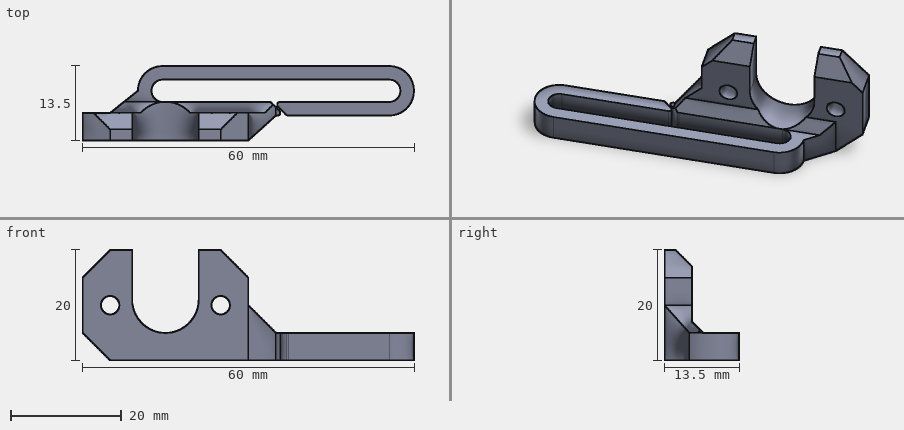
import cadquery as cq
import math

plate_length = 30.0
plate_thickness = 5.0
plate_height = 20.0
corner_chamfer = 5.0
top_back_chamfer = 3.0

saddle_radius = 6.0
saddle_center_x = plate_length / 2
saddle_center_z = 11.0
screw_hole_diameter = 3.3
screw_hole_z = plate_height / 2
screw_hole_inset = 5.0

overall_length = 60.0
overall_depth = 13.5
loop_height = 5.0
loop_wall = 2.5
loop_outer_radius = 4.5
loop_inner_radius = loop_outer_radius - loop_wall
loop_left_x = 10.0
loop_left_center_x = loop_left_x + loop_outer_radius
loop_center_y = overall_depth - loop_outer_radius
loop_front_y = loop_center_y - loop_outer_radius
loop_slot_front_y = loop_center_y - loop_inner_radius

foot_left_x = 5.0
web_size = loop_slot_front_y - plate_thickness
gusset_size = 5.0
gusset_tip_x = plate_length + gusset_size

gap_width_x = 0.5
gap_corner_radius = 0.5
gap_left_front_x = 36.5
gap_left_back_x = gap_left_front_x - loop_wall
gap_right_front_x = gap_left_front_x + gap_width_x
gap_right_back_x = gap_left_back_x + gap_width_x


def round_gap_corners(solid, front_x, back_x):
    """Round the two upright edges where one side of the gap meets the leg faces."""
    middle_z = loop_height / 2
    front_edge = cq.selectors.NearestToPointSelector((front_x, loop_front_y, middle_z))
    back_edge = cq.selectors.NearestToPointSelector((back_x, loop_slot_front_y, middle_z))
    return solid.edges(front_edge + back_edge).fillet(gap_corner_radius)


def slotted_bar(left_x, right_x, radius):
    """Round-ended bar of the loop height, centred on the loop axis."""
    return (
        cq.Workplane("XY")
        .center((left_x + right_x) / 2, loop_center_y)
        .slot2D(right_x - left_x, 2 * radius)
        .extrude(loop_height)
    )


def front_prism(points, depth):
    """Prism with an XZ outline, running from the front face toward +Y."""
    return cq.Workplane("XZ").polyline(points).close().extrude(-depth)


def make_plate():
    outline = [
        (corner_chamfer, 0),
        (plate_length, 0),
        (plate_length, plate_height - corner_chamfer),
        (plate_length - corner_chamfer, plate_height),
        (corner_chamfer, plate_height),
        (0, plate_height - corner_chamfer),
        (0, corner_chamfer),
    ]
    plate = front_prism(outline, plate_thickness)
    bevel = (
        cq.Workplane("YZ")
        .moveTo(plate_thickness, plate_height)
        .lineTo(plate_thickness - top_back_chamfer, plate_height)
        .lineTo(plate_thickness, plate_height - top_back_chamfer)
        .close()
        .extrude(plate_length)
    )
    return plate.cut(bevel)


def make_loop():
    """Closed loop with the front leg cut away left of the slanted gap."""
    ring = slotted_bar(loop_left_x, overall_length, loop_outer_radius).cut(
        slotted_bar(loop_left_x + loop_wall, overall_length - loop_wall, loop_inner_radius)
    )
    removed_leg = (
        cq.Workplane("XY")
        .moveTo(saddle_center_x, loop_front_y)
        .lineTo(gap_right_front_x, loop_front_y)
        .lineTo(gap_right_back_x, loop_slot_front_y)
        .lineTo(saddle_center_x, loop_slot_front_y)
        .close()
        .extrude(loop_height)
    )
    return round_gap_corners(ring.cut(removed_leg), gap_right_front_x, gap_right_back_x)


def make_foot():
    """Foot from the plate to the gap, topped by a sloped web and a sloped gusset."""
    gusset_top = loop_height + gusset_size
    slot_arc_offset = loop_inner_radius * math.sqrt(0.5)
    plan = (
        cq.Workplane("XY")
        .moveTo(foot_left_x, plate_thickness)
        .lineTo(plate_length, plate_thickness)
        .lineTo(plate_length, 0)
        .lineTo(gusset_tip_x, loop_front_y)
        .lineTo(gap_left_front_x, loop_front_y)
        .lineTo(gap_left_back_x, loop_slot_front_y)
        .lineTo(loop_left_center_x, loop_slot_front_y)
        .threePointArc(
            (loop_left_center_x - slot_arc_offset, loop_center_y - slot_arc_offset),
            (loop_left_x + loop_wall, loop_center_y),
        )
        .lineTo(loop_left_x, loop_center_y)
        .close()
        .extrude(gusset_top)
    )
    plan = round_gap_corners(plan, gap_left_front_x, gap_left_back_x)
    web_top = loop_height + web_size
    side_profile = (
        cq.Workplane("YZ")
        .polyline([
            (0, 0),
            (loop_center_y, 0),
            (loop_center_y, loop_height),
            (loop_slot_front_y, loop_height),
            (plate_thickness, web_top),
            (plate_thickness, gusset_top),
            (0, gusset_top),
        ])
        .close()
        .extrude(overall_length)
    )
    front_profile = front_prism(
        [
            (0, 0),
            (gap_left_front_x, 0),
            (gap_left_front_x, loop_height),
            (gusset_tip_x, loop_height),
            (plate_length, gusset_top),
            (0, gusset_top),
        ],
        overall_depth,
    )
    return plan.intersect(side_profile).intersect(front_profile)


def make_saddle():
    """Round-bottomed cutter, open at the top of the plate."""
    return (
        cq.Workplane("XZ")
        .moveTo(saddle_center_x - saddle_radius, plate_height)
        .lineTo(saddle_center_x - saddle_radius, saddle_center_z)
        .threePointArc(
            (saddle_center_x, saddle_center_z - saddle_radius),
            (saddle_center_x + saddle_radius, saddle_center_z),
        )
        .lineTo(saddle_center_x + saddle_radius, plate_height)
        .close()
        .extrude(-overall_depth)
    )


def make_screw_holes():
    return (
        cq.Workplane("XZ")
        .pushPoints([
            (screw_hole_inset, screw_hole_z),
            (plate_length - screw_hole_inset, screw_hole_z),
        ])
        .circle(screw_hole_diameter / 2)
        .extrude(-plate_thickness)
    )


body = make_plate().union(make_foot()).union(make_loop())
result = body.cut(make_saddle()).cut(make_screw_holes())